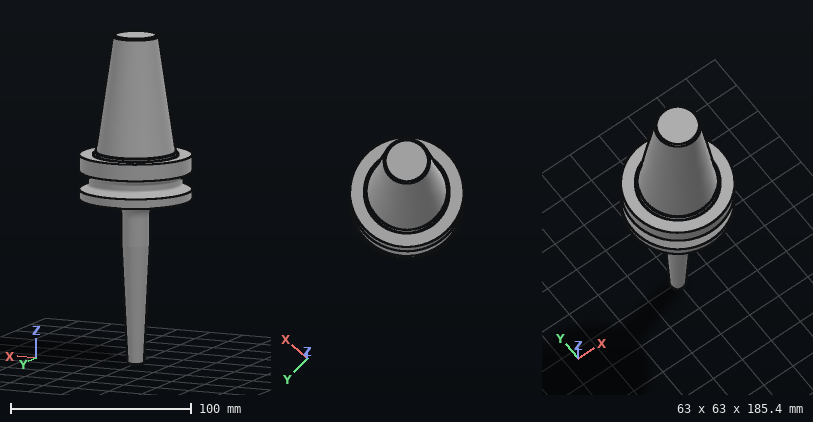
import cadquery as cq
import math

total_height = 185.4
gauge_height = 119.8
flange_top = 118.1
flange_bottom = 93.0
groove_center = 103.6
stem_taper_start = 67.0

gauge_radius = 22.2
taper_ratio = 7 / 24
shank_chamfer = 1.0

neck_radius = 21.5
neck_chamfer = gauge_radius - neck_radius
relief_radius = 23.7
relief_depth = 0.7
relief_chamfer = 0.5

flange_radius = 31.5
groove_floor_radius = 26.5
groove_width = 10.2
groove_wall_angle = 30.0
groove_corner_fillet = 1.5

stem_radius = 8.0
stem_root_fillet = 10.0
tip_radius = 4.6
tip_chamfer = 0.5


def shank():
    """Tapered shank with its chamfered end and the narrower neck below it."""
    top_radius = gauge_radius - (total_height - gauge_height) * taper_ratio / 2
    neck_top = gauge_height - neck_chamfer
    neck_bottom = flange_top - relief_depth
    return (
        cq.Workplane("XZ")
        .moveTo(0, neck_bottom)
        .lineTo(neck_radius, neck_bottom)
        .lineTo(neck_radius, neck_top)
        .lineTo(gauge_radius, gauge_height)
        .lineTo(top_radius, total_height)
        .lineTo(0, total_height)
        .close()
        .revolve(360, (0, 0), (0, 1))
        .faces(">Z").chamfer(shank_chamfer)
    )


def flange():
    """Flange disc with the gripper groove and the relief in its upper face."""
    disc = (
        cq.Workplane("XY", origin=(0, 0, flange_bottom))
        .circle(flange_radius)
        .extrude(flange_top - flange_bottom)
    )
    half_mouth = groove_width / 2
    wall_rise = (flange_radius - groove_floor_radius) * math.tan(math.radians(groove_wall_angle))
    half_floor = half_mouth - wall_rise
    groove = (
        cq.Workplane("XZ")
        .moveTo(flange_radius, groove_center - half_mouth)
        .lineTo(groove_floor_radius, groove_center - half_floor)
        .lineTo(groove_floor_radius, groove_center + half_floor)
        .lineTo(flange_radius, groove_center + half_mouth)
        .close()
        .revolve(360, (0, 0), (0, 1))
    )
    floor_edges = cq.selectors.RadiusNthSelector(0)
    groove = groove.edges("%CIRCLE").edges(floor_edges).fillet(groove_corner_fillet)
    relief = (
        cq.Workplane("XY", origin=(0, 0, flange_top - relief_depth))
        .circle(relief_radius)
        .extrude(relief_depth)
        .faces("<Z").chamfer(relief_chamfer)
    )
    return disc.cut(groove).cut(relief)


def stem():
    """Slender stem that flares into the flange and tapers to a chamfered tip."""
    flare_offset = stem_root_fillet * (1 - math.sqrt(0.5))
    return (
        cq.Workplane("XZ")
        .lineTo(tip_radius - tip_chamfer, 0)
        .lineTo(tip_radius, tip_chamfer)
        .lineTo(stem_radius, stem_taper_start)
        .lineTo(stem_radius, flange_bottom - stem_root_fillet)
        .threePointArc(
            (stem_radius + flare_offset, flange_bottom - flare_offset),
            (stem_radius + stem_root_fillet, flange_bottom),
        )
        .lineTo(0, flange_bottom)
        .close()
        .revolve(360, (0, 0), (0, 1))
    )


result = flange().union(shank()).union(stem())